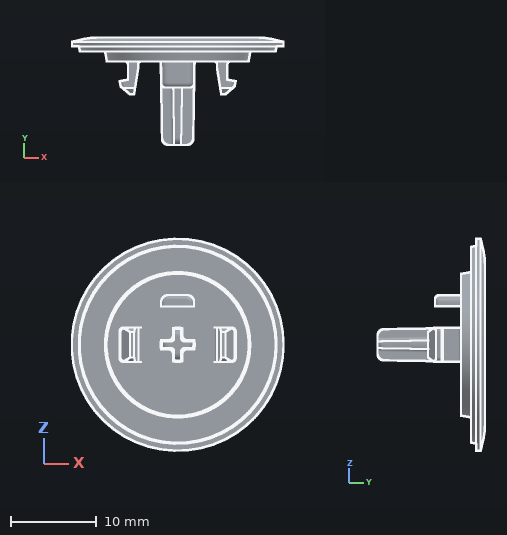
import cadquery as cq
import math

rim_radius = 12.35
crown_flat_radius = 9.26
crown_arc_radius = 11.73
crown_arc_depth = 0.37
crown_depth = 0.52
rim_depth = 1.04
step_base_radius = 11.53
step_face_radius = 11.4
step_depth = 1.65
boss_base_radius = 8.47
boss_face_radius = 8.27
boss_depth = 2.82

total_depth = 12.55
stem_length = total_depth - boss_depth
stem_radius = 2.0
stem_arm_width = 1.14
stem_draft = 1.0
stem_corner_radius = 0.42
stem_tip_radius = 0.82

block_width = 3.85
block_bottom = 4.47
block_top = 5.78
block_length = 3.05
block_corner_radius = 0.82
block_tip_radius = 0.52

hook_width = 4.0
hook_inner = 4.57
hook_outer = 5.8
hook_bend_depth = 0.75
ledge_inner_depth = 2.1
ledge_outer_depth = 2.27
barb_outer = 6.77
barb_edge = 6.65
barb_edge_depth = 2.9
side_bevel_depth = 3.09
hook_length = 3.83
hook_tip_inner = 5.06
hook_tip_outer = 5.55
hook_tip_width = 3.01
hook_root_radius = 0.3
barb_corner_radius = 0.5
corner_margin = 0.12


def face_plane():
    """Sketch plane on the boss face: local x is X, local y is Z, normal is -Y."""
    return cq.Workplane("XZ", origin=(0, -boss_depth, 0))


def make_disc():
    """Round stepped disc with a slightly crowned back."""
    return (
        cq.Workplane("XY")
        .lineTo(crown_flat_radius, 0)
        .threePointArc(crown_mid_point(), (crown_arc_radius, -crown_arc_depth))
        .lineTo(rim_radius, -crown_depth)
        .lineTo(rim_radius, -rim_depth)
        .lineTo(step_base_radius, -rim_depth)
        .lineTo(step_face_radius, -step_depth)
        .lineTo(boss_base_radius, -step_depth)
        .lineTo(boss_face_radius, -boss_depth)
        .lineTo(0, -boss_depth)
        .close()
        .revolve(360, (0, 0, 0), (0, 1, 0))
    )


def crown_mid_point():
    """Middle of the crown arc, which leaves the flat back tangentially."""
    run = crown_arc_radius - crown_flat_radius
    radius = (run**2 + crown_arc_depth**2) / (2 * crown_arc_depth)
    half_angle = math.asin(run / radius) / 2
    return (
        crown_flat_radius + radius * math.sin(half_angle),
        -radius * (1 - math.cos(half_angle)),
    )


def make_stem():
    """Drafted cross trimmed by a drafted round pin with a rounded tip."""
    arm = stem_arm_width / 2
    span = 2 * (stem_radius + stem_arm_width)
    flat_bar = face_plane().rect(span, stem_arm_width).extrude(stem_length, taper=stem_draft)
    upright_bar = face_plane().rect(stem_arm_width, span).extrude(stem_length, taper=stem_draft)
    cross = flat_bar.union(upright_bar)
    inner_corners = cq.selectors.BoxSelector(
        (-arm, -total_depth, -arm), (arm, -boss_depth, arm)
    )
    cross = cross.edges(inner_corners).fillet(stem_corner_radius)
    pin = (
        face_plane()
        .circle(stem_radius)
        .extrude(stem_length, taper=stem_draft)
        .faces("<Y")
        .edges()
        .fillet(stem_tip_radius)
    )
    return cross.intersect(pin)


def make_block():
    """Locating block with rounded upper corners and a rounded tip; its underside stays sharp."""
    height = block_top - block_bottom
    block = (
        face_plane()
        .center(0, block_bottom + height / 2)
        .rect(block_width, height)
        .extrude(block_length)
    )
    block = block.faces(">Z").edges("|Y").fillet(block_corner_radius)
    return block.faces("<Y").edges("not <Z").fillet(block_tip_radius)


def make_hook():
    """Snap hook on the +X side, with its barb pointing outward."""
    root = -boss_depth
    tip = root - hook_length
    edge = root - barb_edge_depth
    ledge = root - ledge_outer_depth
    bevel = root - side_bevel_depth
    flare = hook_root_radius
    hook = (
        cq.Workplane("XY")
        .moveTo(hook_inner - flare, root)
        .radiusArc((hook_inner, root - flare), flare)
        .lineTo(hook_inner, root - hook_bend_depth)
        .lineTo(hook_tip_inner, tip)
        .lineTo(hook_tip_outer, tip)
        .lineTo(barb_edge, edge)
        .lineTo(barb_outer, ledge)
        .lineTo(hook_outer, root - ledge_inner_depth)
        .lineTo(hook_outer, root - flare)
        .radiusArc((hook_outer + flare, root), flare)
        .close()
        .extrude(hook_width / 2, both=True)
    )
    barb_corners = cq.selectors.BoxSelector(
        (barb_edge, edge + corner_margin, -hook_width),
        (barb_outer, ledge - corner_margin, hook_width),
    )
    hook = hook.edges(barb_corners).fillet(barb_corner_radius)

    width_outline = (
        cq.Workplane("YZ")
        .polyline([
            (root, -hook_width / 2), (bevel, -hook_width / 2), (tip, -hook_tip_width / 2),
            (tip, hook_tip_width / 2), (bevel, hook_width / 2), (root, hook_width / 2),
        ])
        .close()
        .extrude(rim_radius)
    )
    return hook.intersect(width_outline)


hook = make_hook()
result = (
    make_disc()
    .union(make_stem())
    .union(make_block())
    .union(hook)
    .union(hook.mirror("YZ"))
)